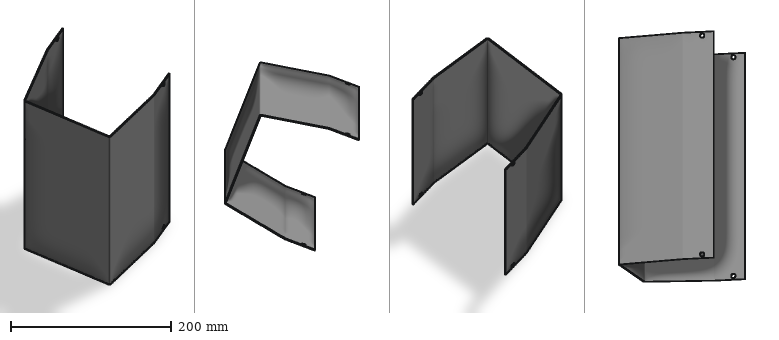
import cadquery as cq
import math

width = 153.0
depth = 126.5
height = 287.0

thickness = 1.5
inner_bend_radius = 1.0
outer_bend_radius = inner_bend_radius + thickness

flange_length = 40.0
taper_angle = math.radians(10)

hole_diameter = 5.5
hole_from_back = 15.0
hole_from_end = 5.0

back_y = depth / 2
front_y = -depth / 2
flange_bend_y = back_y - flange_length


def channel_solid(inset, bend_radius):
    """Filled channel outline, set in by the given distance, with rounded bends."""
    half_width = width / 2 - inset
    bend_y = flange_bend_y + inset * math.tan(taper_angle / 2)
    panel_y = front_y + inset
    panel_half_width = half_width - (bend_y - panel_y) * math.tan(taper_angle)
    outline = [
        (-half_width, back_y),
        (-half_width, bend_y),
        (-panel_half_width, panel_y),
        (panel_half_width, panel_y),
        (half_width, bend_y),
        (half_width, back_y),
    ]
    solid = cq.Workplane("XY").workplane(offset=-height / 2).polyline(outline).close().extrude(height)
    bends = solid.edges("|Z").edges("not(>Y)")
    return bends.fillet(bend_radius)


outer = channel_solid(0, outer_bend_radius)
inner = channel_solid(thickness, inner_bend_radius)
cover = outer.cut(inner)

hole_y = back_y - hole_from_back
hole_z = height / 2 - hole_from_end
hole_drills = (
    cq.Workplane("YZ")
    .pushPoints([(hole_y, -hole_z), (hole_y, hole_z)])
    .circle(hole_diameter / 2)
    .extrude(width, both=True)
)

result = cover.cut(hole_drills)